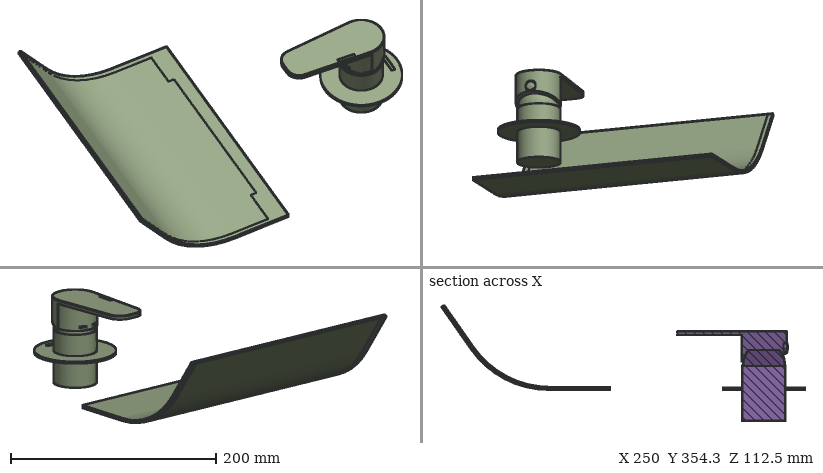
import cadquery as cq
import math


overall_length = 354.3
overall_height = 112.5
mount_height = 30.0

rosette_radius = 40.0
rosette_thickness = 2.0
rosette_label_length = 19.5
rosette_label_y = 30.5
label_width = 3.5
label_depth = 0.5

sleeve_radius = 21.3
sleeve_height = 54.0
neck_radius = 20.5
neck_center_height = 55.5
neck_top_height = 69.0

lever_back_radius = 22.5
lever_front_radius = 21.5
lever_bottom_height = 57.8
lever_top_height = 87.5
handle_thickness = 4.0
handle_tip_y = -84.7
handle_tip_half_width = 17.0
handle_tip_radius = 13.5
handle_chamfer = 0.7
relief_start_y = 2.5
relief_rise = 8.5
lever_label_length = 17.5
lever_label_y = -26.0
lever_label_edge_gap = 1.5

mark_inner_angle = 11.0
mark_outer_angle = 30.0
mark_height = 1.5
mark_depth = 0.5
mark_center_height = 61.5

plug_radius = 5.3
plug_center_height = 71.5
plug_depth = 3.5
plug_rim_recess = 0.7
plug_protrusion = 0.7

spout_width = 250.0
spout_center_x = 3.2
spout_back_y = -150.0
spout_layer_thickness = 1.0
bend_radius = 90.0
bend_angle = math.radians(55)
frame_side_width = 5.3
frame_back_width = 13.8
frame_shoulder_width = 35.5
frame_shoulder_depth = 6.0

spout_layers = 3
frame_layer = 1
spout_thickness = spout_layers * spout_layer_thickness
spout_tip_y = rosette_radius - overall_length
spout_top_height = mount_height + spout_thickness
bend_center_height = spout_top_height + bend_radius
bend_rise = bend_radius * (1 - math.cos(bend_angle))
ramp_length = (overall_height - spout_top_height - bend_rise) / math.sin(bend_angle)
bend_start_y = (
    spout_tip_y
    + (bend_radius + spout_thickness) * math.sin(bend_angle)
    + ramp_length * math.cos(bend_angle)
)


def bend_point(depth, angle):
    """Point (Y, Z) on the bend, at a depth below the upper surface."""
    radius = bend_radius + depth
    return (bend_start_y - radius * math.sin(angle), bend_center_height - radius * math.cos(angle))


def ramp_end(depth):
    """Point (Y, Z) on the free end of the ramp, at a depth below the upper surface."""
    y, z = bend_point(depth, bend_angle)
    return (y - ramp_length * math.cos(bend_angle), z + ramp_length * math.sin(bend_angle))


def curved_layer(number, back_y, width):
    """One of the stacked spout layers, counted from 0 at the top and centred on the spout."""
    upper_depth = number * spout_layer_thickness
    lower_depth = upper_depth + spout_layer_thickness
    return (
        cq.Workplane("YZ", origin=(spout_center_x, 0, 0))
        .moveTo(back_y, spout_top_height - upper_depth)
        .lineTo(*bend_point(upper_depth, 0))
        .threePointArc(bend_point(upper_depth, bend_angle / 2), bend_point(upper_depth, bend_angle))
        .lineTo(*ramp_end(upper_depth))
        .lineTo(*ramp_end(lower_depth))
        .lineTo(*bend_point(lower_depth, bend_angle))
        .threePointArc(bend_point(lower_depth, bend_angle / 2), bend_point(lower_depth, 0))
        .lineTo(back_y, spout_top_height - lower_depth)
        .close()
        .extrude(width / 2, both=True)
    )


def make_spout_plate(number):
    return curved_layer(number, spout_back_y, spout_width)


def make_spout_frame():
    """U-shaped spacer, open at the free end, with a wider back bar near both sides."""
    channel_width = spout_width - 2 * frame_side_width
    channel_back_y = spout_back_y - frame_back_width
    shoulder_y = channel_back_y - frame_shoulder_depth
    channel = curved_layer(frame_layer, shoulder_y, channel_width)
    channel_middle = (
        cq.Workplane("XY")
        .box(
            channel_width - 2 * frame_shoulder_width,
            frame_shoulder_depth,
            spout_layer_thickness,
            centered=(True, False, False),
        )
        .translate((spout_center_x, shoulder_y, mount_height + spout_layer_thickness))
    )
    return curved_layer(frame_layer, spout_back_y, spout_width).cut(channel).cut(channel_middle)


def make_sleeve():
    return cq.Workplane("XY").circle(sleeve_radius).extrude(sleeve_height)


def make_rosette():
    """Disc around the sleeve, with a shallow label recess behind the lever."""
    top_height = mount_height + rosette_thickness
    disc = (
        cq.Workplane("XY", origin=(0, 0, mount_height))
        .circle(rosette_radius)
        .circle(sleeve_radius)
        .extrude(rosette_thickness)
    )
    label = (
        cq.Workplane("XY", origin=(0, rosette_label_y, top_height))
        .rect(rosette_label_length, label_width)
        .extrude(-label_depth)
    )
    return disc.cut(label)


def make_neck():
    """Ball resting on the sleeve, cut flat below and above."""
    ball = cq.Workplane("XY", origin=(0, 0, neck_center_height)).sphere(neck_radius)
    slab = (
        cq.Workplane("XY", origin=(0, 0, sleeve_height))
        .circle(neck_radius)
        .extrude(neck_top_height - sleeve_height)
    )
    return ball.intersect(slab)


taper_angle = math.atan2(lever_back_radius - handle_tip_half_width, -handle_tip_y)
tangent_x = lever_back_radius * math.cos(taper_angle)
tangent_y = -lever_back_radius * math.sin(taper_angle)


def make_handle():
    """Flat tapering plate with a round back and a rounded tip."""
    return (
        cq.Workplane("XY", origin=(0, 0, lever_top_height - handle_thickness))
        .moveTo(tangent_x, tangent_y)
        .threePointArc((0, lever_back_radius), (-tangent_x, tangent_y))
        .lineTo(-handle_tip_half_width, handle_tip_y)
        .lineTo(handle_tip_half_width, handle_tip_y)
        .close()
        .extrude(handle_thickness)
        .edges("|Z and <Y")
        .fillet(handle_tip_radius)
    )


def make_lever_body():
    """Two half discs of different radius under the handle, the back one cut by a rising plane."""
    underside_height = lever_top_height - handle_thickness
    body = (
        cq.Workplane("XY", origin=(0, 0, lever_bottom_height))
        .moveTo(lever_back_radius, 0)
        .threePointArc((0, lever_back_radius), (-lever_back_radius, 0))
        .lineTo(-lever_front_radius, 0)
        .threePointArc((0, -lever_front_radius), (lever_front_radius, 0))
        .close()
        .extrude(underside_height - lever_bottom_height)
    )
    relief = (
        cq.Workplane("YZ")
        .moveTo(relief_start_y, lever_bottom_height)
        .lineTo(lever_back_radius, lever_bottom_height + relief_rise)
        .lineTo(lever_back_radius, lever_bottom_height)
        .close()
        .extrude(lever_back_radius, both=True)
    )
    return body.cut(relief)


def make_lever_label():
    """Shallow recess volume beside the +X edge of the handle, parallel to it."""
    edge_x = tangent_x + (lever_label_y - tangent_y) * math.tan(taper_angle)
    label_x = edge_x - lever_label_edge_gap - label_width / 2
    label = cq.Workplane("XY").rect(label_width, lever_label_length).extrude(-label_depth)
    label = label.rotate((0, 0, 0), (0, 0, 1), -math.degrees(taper_angle))
    return label.translate((label_x, lever_label_y, lever_top_height))


def make_mark(side):
    """Curved recess volume in the front of the lever; side is -1 for -X and 1 for +X."""

    def point(radius, degrees):
        angle = math.radians(degrees)
        return (side * radius * math.sin(angle), -radius * math.cos(angle))

    middle_angle = (mark_inner_angle + mark_outer_angle) / 2
    inner_radius = lever_front_radius - mark_depth
    return (
        cq.Workplane("XY", origin=(0, 0, mark_center_height - mark_height / 2))
        .moveTo(*point(lever_front_radius, mark_inner_angle))
        .threePointArc(point(lever_front_radius, middle_angle), point(lever_front_radius, mark_outer_angle))
        .lineTo(*point(inner_radius, mark_outer_angle))
        .threePointArc(point(inner_radius, middle_angle), point(inner_radius, mark_inner_angle))
        .close()
        .extrude(mark_height)
    )


def make_plug():
    """Round plug with a domed outer end, standing slightly proud of the back of the lever."""
    rim_y = lever_back_radius - plug_rim_recess
    return (
        cq.Workplane("YZ")
        .moveTo(lever_back_radius - plug_depth, 0)
        .lineTo(lever_back_radius + plug_protrusion, 0)
        .spline([(rim_y, plug_radius)], tangents=[(0, 1), (-1, 1)], includeCurrent=True)
        .lineTo(lever_back_radius - plug_depth, plug_radius)
        .close()
        .revolve(360, (0, 0, 0), (1, 0, 0))
        .translate((0, 0, plug_center_height))
    )


def make_lever(neck, plug):
    """Handle and body as one piece, recessed for the neck, the plug, the label and the marks."""
    lever = make_handle().union(make_lever_body())
    lever = lever.faces(">Z").edges().chamfer(handle_chamfer)
    lever = lever.cut(make_lever_label()).cut(neck).cut(plug)
    for side in (-1, 1):
        lever = lever.cut(make_mark(side))
    return lever


spout_plates = [make_spout_plate(number) for number in (0, spout_layers - 1)]
spout_frame = make_spout_frame()
sleeve = make_sleeve()
rosette = make_rosette()
neck = make_neck()
plug = make_plug()
lever = make_lever(neck, plug)

result = cq.Compound.makeCompound(
    [
        *[plate.val() for plate in spout_plates],
        spout_frame.val(),
        sleeve.val(),
        rosette.val(),
        neck.val(),
        plug.val(),
        lever.val(),
    ]
)